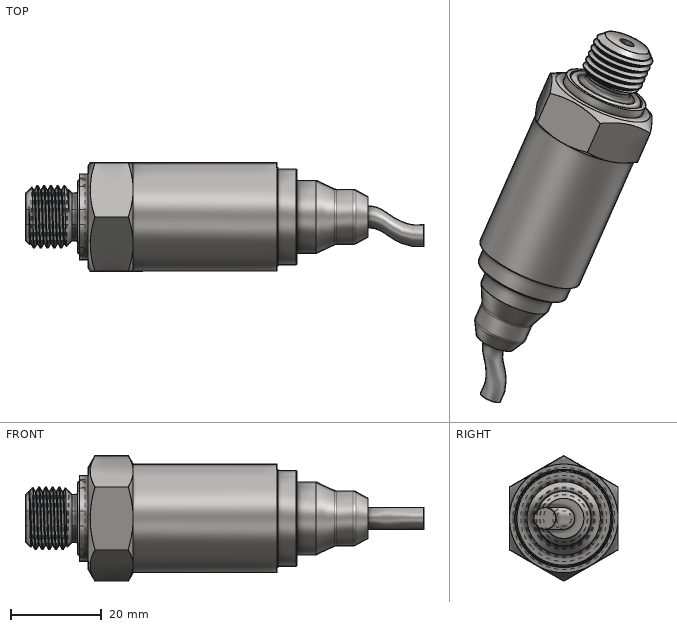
import cadquery as cq
import math


PORT_FACE_D = 10.5
THREAD_MAJOR_D = 13.8
THREAD_ROOT_D = 12.0
THREAD_PITCH = 1.5
THREAD_FLANK_HALF_ANGLE = 30
THREAD_ROOT_FLAT = 0.22
THREAD_CLEARANCE = 0.1
GROOVE_MID_X = 1.85
BORE_D = 3.3

NECK_D = 10.6
NECK_START_X = 10.2
NECK_FILLET = 1.0

COLLAR_FRONT_X = 11.9
COLLAR_D = 19.0
SEAL_OUTER_D = 16.7
SEAL_INNER_D = 13.5
SEAL_GROOVE_D = 17.2
SEAL_PROTRUSION = 0.4
SEAL_SECTION_R = (SEAL_OUTER_D - SEAL_INNER_D) / 4
SEAL_RING_R = (SEAL_OUTER_D + SEAL_INNER_D) / 4
SEAL_MID_X = COLLAR_FRONT_X - SEAL_PROTRUSION + SEAL_SECTION_R

HEX_FRONT_X = 13.8
HEX_REAR_X = 23.75
HEX_ACROSS_FLATS = 24.0
HEX_FRONT_FACE_D = 22.5
HEX_CHAMFER_ANGLE = 30
BARREL_D = 24.0
BARREL_END_X = 55.5

LIP_D = 21.7
LIP_LENGTH = 0.3
FLANGE_D = 21.2
FLANGE_END_X = 60.0
FLANGE_CHAMFER = 0.3
BOOT_D = 16.2
BOOT_CONE_X = 64.1
SLEEVE_D = 12.1
SLEEVE_START_X = 68.4
SLEEVE_END_X = 72.65
BOOT_TIP_D = 8.9
BOOT_END_X = 75.6
SLEEVE_BLEND_R = 1.2

CABLE_D = 4.8
CABLE_BEND_END_X = 85.5
CABLE_END_X = 87.95
CABLE_OFFSET = 4.1

AXIAL = cq.Plane(origin=(0, 0, 0), xDir=(0, 1, 0), normal=(1, 0, 0))


def revolve_about_x(profile):
    return profile.close().revolve(360, (0, 0, 0), (1, 0, 0))


def cylinder_along_x(diameter, start_x, end_x):
    return cq.Workplane("YZ", origin=(start_x, 0, 0)).circle(diameter / 2).extrude(end_x - start_x)


def make_port():
    """Port blank: chamfered nose, thread cylinder, undercut neck and collar."""
    face_r = PORT_FACE_D / 2
    major_r = THREAD_MAJOR_D / 2
    neck_r = NECK_D / 2
    collar_r = COLLAR_D / 2
    nose_chamfer = major_r - face_r
    runout_x = NECK_START_X - (major_r - neck_r)
    arc_middle = NECK_FILLET * math.sqrt(0.5)
    fillet_x = COLLAR_FRONT_X - NECK_FILLET
    fillet_r = neck_r + NECK_FILLET
    profile = (
        cq.Workplane("XZ")
        .lineTo(0, face_r)
        .lineTo(nose_chamfer, major_r)
        .lineTo(runout_x, major_r)
        .lineTo(NECK_START_X, neck_r)
        .lineTo(fillet_x, neck_r)
        .threePointArc((fillet_x + arc_middle, fillet_r - arc_middle), (COLLAR_FRONT_X, fillet_r))
        .lineTo(COLLAR_FRONT_X, collar_r)
        .lineTo(HEX_FRONT_X, collar_r)
        .lineTo(HEX_FRONT_X, 0)
    )
    return revolve_about_x(profile)


def make_thread_groove():
    """Right-handed V groove that runs past both ends of the thread."""
    root_r = THREAD_ROOT_D / 2
    outer_r = THREAD_MAJOR_D / 2 + THREAD_CLEARANCE
    root_half = THREAD_ROOT_FLAT / 2
    outer_half = root_half + (outer_r - root_r) * math.tan(math.radians(THREAD_FLANK_HALF_ANGLE))
    start_x = GROOVE_MID_X - 2 * THREAD_PITCH
    length = NECK_START_X - start_x
    helix = cq.Wire.makeHelix(THREAD_PITCH, length, root_r)
    section = (
        cq.Workplane("XZ")
        .moveTo(root_r, -root_half)
        .lineTo(outer_r, -outer_half)
        .lineTo(outer_r, outer_half)
        .lineTo(root_r, root_half)
        .close()
    )
    groove = section.sweep(cq.Workplane(obj=helix), isFrenet=True).val()
    return cq.Workplane(obj=groove.moved(cq.Location(AXIAL)).moved(cq.Location((start_x, 0, 0))))


def make_hexagon():
    """Hexagon with corners on +Z and -Z, its corners chamfered by cones at both ends."""
    corner_r = HEX_ACROSS_FLATS / math.sqrt(3)
    slope = math.tan(math.radians(HEX_CHAMFER_ANGLE))
    front_r = HEX_FRONT_FACE_D / 2
    rear_r = BARREL_D / 2
    prism = (
        cq.Workplane("YZ", origin=(HEX_FRONT_X, 0, 0))
        .polygon(6, 2 * corner_r)
        .extrude(HEX_REAR_X - HEX_FRONT_X)
        .rotate((0, 0, 0), (1, 0, 0), 90)
    )
    envelope = revolve_about_x(
        cq.Workplane("XY")
        .moveTo(HEX_FRONT_X, 0)
        .lineTo(HEX_FRONT_X, front_r)
        .lineTo(HEX_FRONT_X + (corner_r - front_r) * slope, corner_r)
        .lineTo(HEX_REAR_X - (corner_r - rear_r) * slope, corner_r)
        .lineTo(HEX_REAR_X, rear_r)
        .lineTo(HEX_REAR_X, 0)
    )
    return prism.intersect(envelope)


def make_seal_groove():
    """Ring-shaped groove in the collar face, as deep as the back of the O-ring."""
    depth = SEAL_MID_X + SEAL_SECTION_R - COLLAR_FRONT_X
    return (
        cq.Workplane("YZ", origin=(COLLAR_FRONT_X, 0, 0))
        .circle(SEAL_GROOVE_D / 2)
        .circle(SEAL_INNER_D / 2)
        .extrude(depth)
    )


def make_housing():
    """Port, hexagon and barrel in one piece, with the thread cut last."""
    port = make_port().cut(make_seal_groove())
    bore = cylinder_along_x(BORE_D, 0, HEX_FRONT_X)
    barrel = cylinder_along_x(BARREL_D, HEX_REAR_X, BARREL_END_X)
    blank = port.cut(bore).union(make_hexagon()).union(barrel)
    return blank.cut(make_thread_groove(), clean=False)


def make_seal():
    """O-ring seated on the floor and inner wall of the seal groove."""
    section = cq.Workplane("XY").center(SEAL_MID_X, SEAL_RING_R).circle(SEAL_SECTION_R)
    return section.revolve(360, (0, -SEAL_RING_R, 0), (1, -SEAL_RING_R, 0))


def make_boot():
    """Flanged boot that narrows to a sleeve and a conical tip."""
    flange = cylinder_along_x(FLANGE_D, BARREL_END_X, FLANGE_END_X).faces(">X").chamfer(FLANGE_CHAMFER)
    lip = cylinder_along_x(LIP_D, BARREL_END_X, BARREL_END_X + LIP_LENGTH)
    boot = revolve_about_x(
        cq.Workplane("XY")
        .moveTo(FLANGE_END_X, 0)
        .lineTo(FLANGE_END_X, BOOT_D / 2)
        .lineTo(BOOT_CONE_X, BOOT_D / 2)
        .lineTo(SLEEVE_START_X, SLEEVE_D / 2)
        .lineTo(SLEEVE_END_X, SLEEVE_D / 2)
        .lineTo(BOOT_END_X, BOOT_TIP_D / 2)
        .lineTo(BOOT_END_X, 0)
    )
    sleeve_ends = cq.selectors.BoxSelector(
        (SLEEVE_START_X - 0.9, -BOOT_D, -BOOT_D), (SLEEVE_END_X + 0.9, BOOT_D, BOOT_D)
    )
    return flange.union(lip).union(boot.edges("%CIRCLE").edges(sleeve_ends).fillet(SLEEVE_BLEND_R))


def make_cable():
    """S-shaped cable, swept with its round section kept square to X along the whole bend."""
    bend_middle = ((BOOT_END_X + CABLE_BEND_END_X) / 2, -CABLE_OFFSET / 2)
    path = cq.Workplane("XY").spline(
        [(BOOT_END_X, 0), bend_middle, (CABLE_BEND_END_X, -CABLE_OFFSET), (CABLE_END_X, -CABLE_OFFSET)],
        tangents=[(1, 0), (1, 0)],
    )
    section = cq.Workplane("YZ", origin=(BOOT_END_X, 0, 0)).circle(CABLE_D / 2)
    return section.sweep(path, normal=(1, 0, 0))


housing = make_housing()
seal = make_seal()
boot = make_boot()
cable = make_cable()

result = cq.Compound.makeCompound([housing.val(), seal.val(), boot.val(), cable.val()])